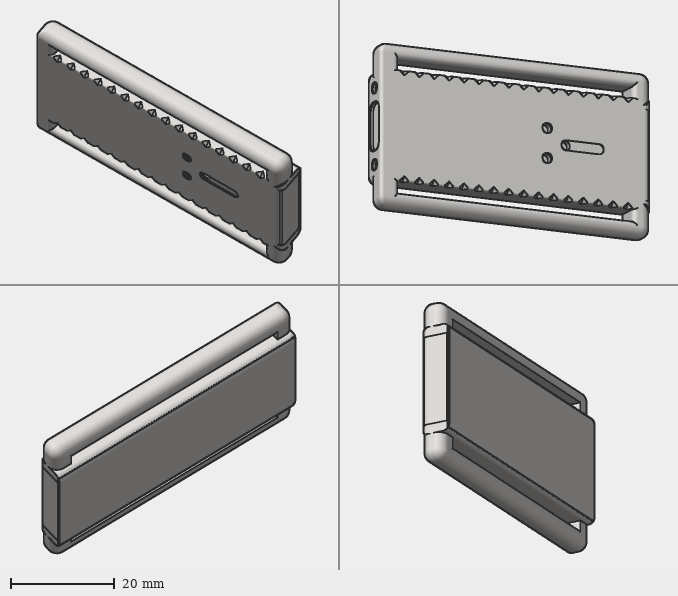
import cadquery as cq

length = 57.8
frame_height = 32.8
frame_depth = 4.9
frame_round = 2.0
front_edge_round = 0.75

block_height = 22.1
block_depth = 6.5
block_round = 1.5

opening_length = 49.95
opening_height = 2.3
opening_round = frame_height / 2 - frame_round - block_height / 2 - opening_height
grip_edge_round = 0.35

notch_count = 16
notch_pitch = 3.2
notch_half_width = 1.1
notch_size = 1.05

front_skin = 0.3
end_wall = 0.7
cavity_height = 18.15
cavity_back = 5.8

port_y = 2.85
port_width = 3.7
port_height = 9.5
port_corner = 1.5
end_hole_diameter = 1.95
end_hole_spacing = 15.25
rim_chamfer = 0.2

front_hole_diameter = 2.0
front_hole_x = 6.65
front_hole_spacing = 5.95
slot_start_x = 10.7
slot_end_x = 17.7

drawer_front = 0.65
drawer_plate = 1.3
drawer_cap = 0.7
drawer_clearance = 0.7

sheet_height = 20.8
sheet_thickness = 0.25
sheet_back_cover = 0.35

left = -length / 2
right = length / 2


def box(x_range, y_range, z_range):
    """Box that fills the given range along each axis."""
    sizes = [high - low for low, high in (x_range, y_range, z_range)]
    corner = (x_range[0], y_range[0], z_range[0])
    return cq.Workplane("XY").box(*sizes, centered=False).translate(corner)


def centred(size):
    """Range of the given size about zero."""
    return (-size / 2, size / 2)


def cylinder_along_y(diameter, x, z, depth):
    """Cylinder that runs back from the front face."""
    return cq.Workplane("XZ", origin=(x, 0, z)).circle(diameter / 2).extrude(-depth)


def sharp_tetrahedron(points):
    """Solid between four corner points."""
    faces = []
    for skipped in points:
        corners = [cq.Vector(*p) for p in points if p is not skipped]
        faces.append(cq.Face.makeFromWires(cq.Wire.makePolygon(corners, close=True)))
    return cq.Workplane(cq.Solid.makeSolid(cq.Shell.makeShell(faces)))


def make_frame():
    """Slab rounded all over, but more tightly along the left edge of its front face."""
    slab = box((left, right), (0, frame_depth), centred(frame_height))
    slab = slab.edges("|Y or >Y or (<Y and (not <X))").fillet(frame_round)
    return slab.edges("<X and <Y").fillet(front_edge_round)


def make_block():
    """Block through the frame, with sharp edges around the right end except at the front."""
    block = box((left, right), (0, block_depth), centred(block_height))
    block = block.edges("(<X and (not <Y)) or |X or (>X and <Y)").fillet(block_round)
    return block.edges("<X and <Y").fillet(front_edge_round)


def make_opening_cutter():
    """Space of the strap opening above the block, flared at the front by its rounded edges."""
    inner = block_height / 2
    outer = inner + opening_height
    margin = 2 * opening_round
    surround = box(
        centred(opening_length + 2 * margin),
        (0, block_depth),
        (inner - margin, outer + margin),
    )
    opening = box(centred(opening_length), (0, block_depth), (inner, outer))
    rounded = surround.cut(opening)
    ends_and_bar = [
        (-opening_length / 2, 0, (inner + outer) / 2),
        (opening_length / 2, 0, (inner + outer) / 2),
        (0, 0, outer),
    ]
    edges = [rounded.edges(cq.selectors.NearestToPointSelector(p)).val() for p in ends_and_bar]
    rounded = rounded.newObject(edges).fillet(opening_round)
    rounded = rounded.edges(cq.selectors.NearestToPointSelector((0, 0, inner))).fillet(grip_edge_round)
    return surround.cut(rounded)


def cut_notches(body, side):
    """Row of V notches that slope from the front face down into the strap opening."""
    edge = side * block_height / 2
    for number in range(notch_count):
        x = (number - (notch_count - 1) / 2) * notch_pitch
        notch = sharp_tetrahedron(
            [
                (x - notch_half_width, 0, edge),
                (x + notch_half_width, 0, edge),
                (x, 0, edge - side * notch_size),
                (x, notch_size, edge),
            ]
        )
        body = body.cut(notch)
    return body


def cut_end_wall(body):
    """Connector window and two round holes through the left wall, all with chamfered rims."""
    window = (
        cq.Workplane("YZ", origin=(left, port_y, 0))
        .rect(port_width, port_height)
        .extrude(end_wall)
        .edges("|X")
        .fillet(port_corner)
    )
    holes = (
        cq.Workplane("YZ", origin=(left, port_y, 0))
        .pushPoints([(0, -end_hole_spacing / 2), (0, end_hole_spacing / 2)])
        .circle(end_hole_diameter / 2)
        .extrude(end_wall)
    )
    body = body.cut(window).cut(holes)
    rims = [edge for wire in body.faces("<X").val().innerWires() for edge in wire.Edges()]
    return body.newObject(rims).chamfer(rim_chamfer)


def make_front_holes():
    """Three holes through the front skin and the drawer plate, one of them at the left end of the slot."""
    depth = drawer_front + drawer_plate
    holes = cylinder_along_y(front_hole_diameter, slot_start_x, 0, depth)
    for side in (-1, 1):
        holes = holes.union(
            cylinder_along_y(front_hole_diameter, front_hole_x, side * front_hole_spacing / 2, depth)
        )
    return holes


def make_slot():
    """Round-ended slot through the front skin."""
    slot = box((slot_start_x, slot_end_x), (0, front_skin), centred(front_hole_diameter))
    for x in (slot_start_x, slot_end_x):
        slot = slot.union(cylinder_along_y(front_hole_diameter, x, 0, front_skin))
    return slot


def make_sheet():
    """Sheet that runs the full length inside the back wall and ends flush with the block."""
    sheet_back = block_depth - sheet_back_cover
    sheet = box((left, right), (sheet_back - sheet_thickness, sheet_back), centred(sheet_height))
    return sheet.intersect(make_block())


def make_drawer():
    """L-shaped drawer that fills the height of the cavity and ends flush with the block."""
    inside_left = left + end_wall
    plate = box(
        (inside_left + drawer_clearance, right),
        (drawer_front, drawer_front + drawer_plate),
        centred(cavity_height),
    )
    cap = box((right - drawer_cap, right), (drawer_front, cavity_back), centred(cavity_height))
    return plate.union(cap).intersect(make_block()).cut(make_front_holes())


def make_housing():
    """Frame and block in one piece, with the openings, notches, cavity and holes cut out."""
    body = make_frame().union(make_block())
    opening = make_opening_cutter()
    body = body.cut(opening).cut(opening.mirror("XY"))
    for side in (1, -1):
        body = cut_notches(body, side)
    cavity = box((left + end_wall, right), (front_skin, cavity_back), centred(cavity_height))
    body = body.cut(cavity)
    body = cut_end_wall(body)
    body = body.cut(make_front_holes()).cut(make_slot())
    return body.cut(make_sheet())


housing = make_housing()
drawer = make_drawer()
sheet = make_sheet()
result = cq.Compound.makeCompound([housing.val(), drawer.val(), sheet.val()])